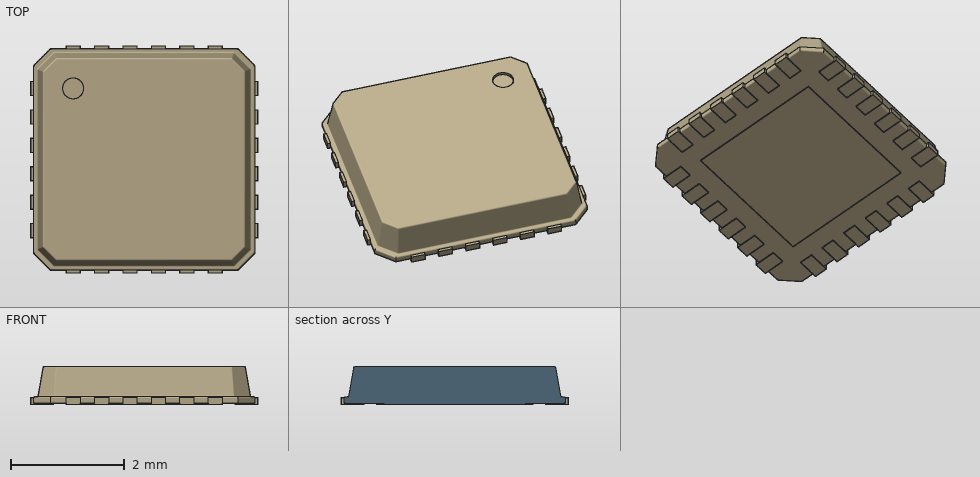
import cadquery as cq

OVERALL = 4.0
HEIGHT = 0.67

STANDOFF = 0.02
FLANGE_TOP = 0.14
FLANGE_WIDTH = 3.9
FLANGE_CORNER = 0.3
FLANGE_ROUND = 0.03

CAP_WIDTH = 3.745
CAP_CORNER = 0.29
CAP_DRAFT = 10.0
CAP_ROUND = 0.03
CAP_FOOT_ROUND = 0.02

LEADS_PER_SIDE = 6
LEAD_PITCH = 0.5
LEAD_WIDTH = 0.25
LEAD_LENGTH = 0.4
LEAD_HEIGHT = 0.125
THERMAL_PAD_WIDTH = 2.5

MARK_RADIUS = 0.185
MARK_OFFSET = 1.25
MARK_DEPTH = 0.05


def octagon_prism(width, corner, bottom, top, draft=0.0):
    """Square block with chamfered corners, its walls leaning inward by the draft angle."""
    half = width / 2
    shoulder = half - corner
    points = [
        (half, -shoulder), (half, shoulder), (shoulder, half), (-shoulder, half),
        (-half, shoulder), (-half, -shoulder), (-shoulder, -half), (shoulder, -half),
    ]
    outline = cq.Workplane("XY").workplane(offset=bottom).polyline(points).close()
    return outline.extrude(top - bottom, taper=draft)


def make_body():
    """Flange with rounded rims, carrying the drafted and rounded cap."""
    flange = octagon_prism(FLANGE_WIDTH, FLANGE_CORNER, STANDOFF, FLANGE_TOP)
    flange = flange.faces("<Z or >Z").edges().fillet(FLANGE_ROUND)
    cap = octagon_prism(CAP_WIDTH, CAP_CORNER, FLANGE_TOP, HEIGHT, CAP_DRAFT)
    cap = cap.edges("not <Z").fillet(CAP_ROUND)

    margin = CAP_FOOT_ROUND / 2
    reach = CAP_WIDTH / 2 + margin
    foot = cq.selectors.BoxSelector(
        (-reach, -reach, FLANGE_TOP - margin),
        (reach, reach, FLANGE_TOP + margin),
        boundingbox=True,
    )
    return flange.union(cap).edges(foot).fillet(CAP_FOOT_ROUND)


def make_leads():
    """Rows of leads on all four sides, poking out past the flange."""
    row_centre = OVERALL / 2 - LEAD_LENGTH / 2
    first = -LEAD_PITCH * (LEADS_PER_SIDE - 1) / 2
    places = [(first + i * LEAD_PITCH, row_centre) for i in range(LEADS_PER_SIDE)]
    row = cq.Workplane("XY").pushPoints(places).rect(LEAD_WIDTH, LEAD_LENGTH).extrude(LEAD_HEIGHT)
    leads = row
    for angle in (90, 180, 270):
        leads = leads.union(row.rotate((0, 0, 0), (0, 0, 1), angle))
    return leads


def make_thermal_pad():
    """Square pad under the middle, level with the lead undersides."""
    return cq.Workplane("XY").rect(THERMAL_PAD_WIDTH, THERMAL_PAD_WIDTH).extrude(FLANGE_TOP)


def make_pin_mark():
    """Round dimple in the top face beside the first lead."""
    mark = cq.Workplane("XY").workplane(offset=HEIGHT - MARK_DEPTH)
    return mark.center(-MARK_OFFSET, MARK_OFFSET).circle(MARK_RADIUS).extrude(MARK_DEPTH)


result = make_body().union(make_leads()).union(make_thermal_pad()).cut(make_pin_mark())